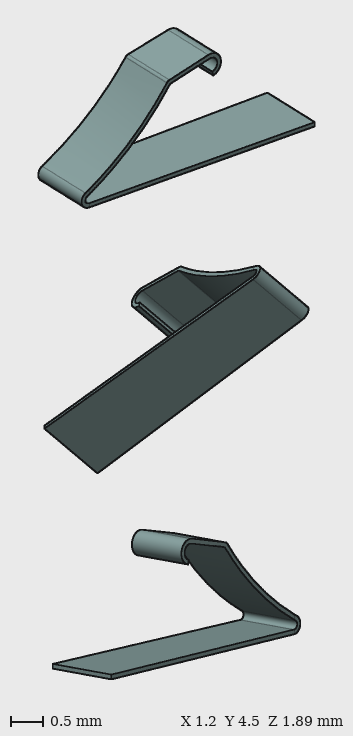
import cadquery as cq
import math

thickness = 0.075
length = 4.5

heel_radius = 0.15
arm_radius = 5.005
crest_radius = 0.09
hook_radius = 0.202

arm_start_slope = 28.7
arm_end_slope = 53.2
lip_slope = 13.2
lip_length = 0.788
hook_turn = 180.0

base_end_width = 1.2
heel_width = 1.1
hook_width = 1.012
blank_height = 2.25
hook_reach = 2.755


def offset_left(point, heading, distance):
    """Move a (y, z) point sideways to the left of a heading in degrees."""
    angle = math.radians(heading)
    return (point[0] - distance * math.sin(angle), point[1] + distance * math.cos(angle))


def side_points(points):
    """Place (y, z) points on the plane of the -X side of the strip."""
    return [cq.Vector(-base_end_width / 2, y, z) for y, z in points]


def bend(faces, start, heading, radius, turn):
    """Add a bend to the outer and inner faces; a positive turn is to the left."""
    side = math.copysign(1, turn)
    center = offset_left(start, heading, side * radius)
    outer, inner = faces
    for edges, face_radius in ((outer, radius), (inner, radius + side * thickness)):
        points = [
            offset_left(center, heading + turn * share, -side * face_radius)
            for share in (0, 0.5, 1)
        ]
        edges.append(cq.Edge.makeThreePointArc(*side_points(points)))
    return offset_left(center, heading + turn, -side * radius), heading + turn


def straight(faces, start, heading, distance):
    """Add a flat stretch to the outer and inner faces."""
    angle = math.radians(heading)
    end = (start[0] + distance * math.cos(angle), start[1] + distance * math.sin(angle))
    for edges, depth in zip(faces, (0, thickness)):
        points = [offset_left(point, heading, -depth) for point in (start, end)]
        edges.append(cq.Edge.makeLine(*side_points(points)))
    return end, heading


def extrude_strip(outer, inner):
    """Close the two faces with square ends and extrude across the full width along X."""
    ends = [
        cq.Edge.makeLine(outer[0].startPoint(), inner[0].startPoint()),
        cq.Edge.makeLine(outer[-1].endPoint(), inner[-1].endPoint()),
    ]
    profile = cq.Wire.combine(outer + inner + ends)[0]
    return cq.Workplane(cq.Solid.extrudeLinear(profile, [], cq.Vector(base_end_width, 0, 0)))


def taper(far_y, far_width):
    """Tapered blank covering one leg, parallel-sided over the heel."""
    outline = [
        (-heel_width / 2, 0),
        (heel_width / 2, 0),
        (heel_width / 2, heel_radius),
        (far_width / 2, far_y),
        (-far_width / 2, far_y),
        (-heel_width / 2, heel_radius),
    ]
    return cq.Workplane("XY").polyline(outline).close().extrude(blank_height)


base_faces = ([], [])
place, heading = straight(base_faces, (length, 0), 180, length - heel_radius)
base = extrude_strip(*base_faces).intersect(taper(length, base_end_width))

arm_faces = ([], [])
place, heading = bend(arm_faces, place, heading, heel_radius, arm_start_slope - heading)
place, heading = bend(arm_faces, place, heading, arm_radius, arm_end_slope - arm_start_slope)
place, heading = bend(arm_faces, place, heading, crest_radius, lip_slope - arm_end_slope)
place, heading = straight(arm_faces, place, heading, lip_length)
bend(arm_faces, place, heading, hook_radius, -hook_turn)
arm = extrude_strip(*arm_faces).intersect(taper(hook_reach, hook_width))

result = base.union(arm)